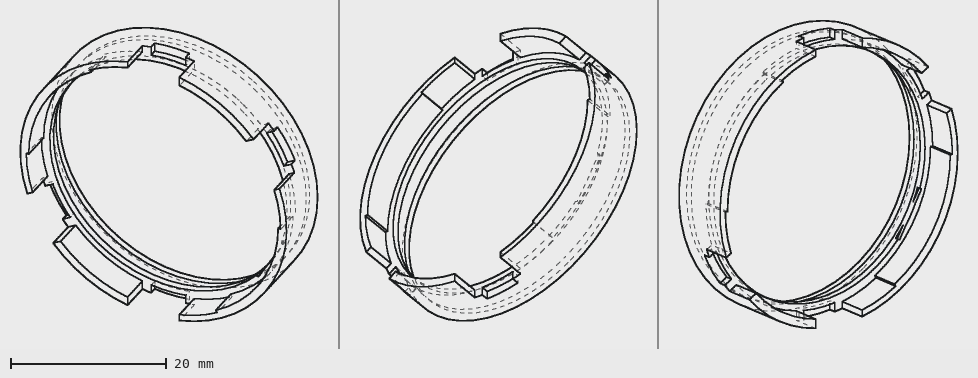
import cadquery as cq

outer_radius = 19.3
height = 8.6
cut_reach = outer_radius + 0.4
collar_depth = 4.13

collar_inner_radius = 18.05
relief_inner_radius = 18.4
relief_sweep = 30.0
relief_start_angles = (0, 90, 180, 270)

bore_radius = 17.18
wide_bore_radius = 18.1
front_land_length = 1.0
cone_length = 2.5

gap_angles = (30, 90, 210, 270)
gap_width = 7.5
pocket_width = 5.0
pocket_depth = 1.0

nick_angle = -30
nick_width = 7.1
nick_reach = 17.1
nick_depth = 0.5


def radial_box(inner, outer, width, y_start, y_end, angle):
    """Box pointing outwards from the axis, angle measured from +X towards +Z."""
    box = cq.Workplane("XY").box(outer - inner, y_end - y_start, width, centered=(False, False, True))
    return box.translate((inner, y_start, 0)).rotate((0, 0, 0), (0, 1, 0), -angle)


def make_ring():
    """Revolved body with the collar recess and the stepped, tapered bore."""
    cone_start = collar_depth + front_land_length
    profile = [
        (outer_radius, 0),
        (outer_radius, height),
        (wide_bore_radius, height),
        (wide_bore_radius, cone_start + cone_length),
        (bore_radius, cone_start),
        (bore_radius, collar_depth),
        (collar_inner_radius, collar_depth),
        (collar_inner_radius, 0),
    ]
    return cq.Workplane("XY").polyline(profile).close().revolve(360, (0, 0, 0), (0, 1, 0))


def make_relief(start_angle):
    """Arc-shaped cut that thins the collar wall from the inside."""
    sector = (
        cq.Workplane("XY")
        .moveTo(bore_radius, 0)
        .lineTo(relief_inner_radius, 0)
        .lineTo(relief_inner_radius, collar_depth)
        .lineTo(bore_radius, collar_depth)
        .close()
        .revolve(relief_sweep, (0, 0, 0), (0, 1, 0))
    )
    return sector.rotate((0, 0, 0), (0, 1, 0), -(start_angle + relief_sweep))


def make_pocket(angle):
    """Straight-sided pocket with a round inner wall, open to the outside."""
    pocket_end = collar_depth + pocket_depth
    block = radial_box(0, cut_reach, pocket_width, collar_depth, pocket_end, angle)
    core = cq.Workplane("XZ").circle(collar_inner_radius).extrude(-height)
    return block.cut(core)


result = make_ring()
for start_angle in relief_start_angles:
    result = result.cut(make_relief(start_angle))
for angle in gap_angles:
    result = result.cut(radial_box(0, cut_reach, gap_width, 0, collar_depth, angle))
    result = result.cut(make_pocket(angle))
nick_end = collar_depth + nick_depth
result = result.cut(radial_box(0, nick_reach, nick_width, collar_depth, nick_end, nick_angle))